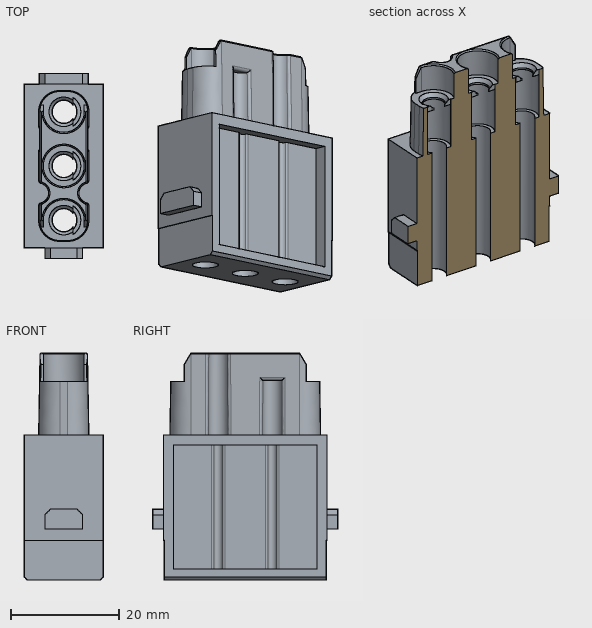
import cadquery as cq
import math

BODY_X = 14.65
BODY_Y = 30.2
BODY_Z = 26.8
TOTAL_Z = 41.95
FOOT_Z = 7.35
FOOT_INSET = 0.15
BOTTOM_CHAMFER = 0.6

TAB_REACH = 2.0
TAB_BOTTOM = 9.4
TAB_TOP = 13.1
TAB_CHAMFER = 1.05
TAB_WIDTH_MINUS_Y = 7.0
TAB_WIDTH_PLUS_Y = 9.1

POCKET_RIM = 1.9
POCKET_BOTTOM = 2.1
POCKET_DEPTH = 2.4
POCKET_GROOVE_R = 0.85
POCKET_GROOVE_FILLET = 0.45

PITCH = 10.0
TOWER_X = 9.3
TOWER_Y = 27.85
TOWER_CORNER_R = TOWER_Y / 2 - PITCH
TOWER_DRAFT = 1.0
TOWER_GROOVE_R = 1.85
TOWER_GROOVE_FILLET = 0.6
TOWER_GROOVE_TOPS = (TOTAL_Z, 36.8)
TOP_CHAMFER = 0.25

SHELF_Z = 36.7
ARM_END_Y = 11.27
ARM_SLOPE_Z = 2.15
ARM_TOP_Y = PITCH

SOCKET_R = 3.78
LIP_TOP_R = 2.72
LIP_R = 2.12
LIP_CONE_Z = 0.75
LIP_LAND_Z = 0.35
CHAMBER_R = 3.15
CHAMBER_FLOOR_Z = BODY_Z
WIRE_HOLE_R = 2.4
LIP_GAP_X = 1.75

CHAMBER_YS = (-PITCH, 0, PITCH)
GROOVE_YS = (-PITCH / 2, PITCH / 2)
SIDES = (-1, 1)


def block(size_x, size_y, z_bottom, z_top):
    """Box centred on the Z axis between two levels."""
    base = cq.Workplane("XY").workplane(offset=z_bottom)
    return base.rect(size_x, size_y).extrude(z_top - z_bottom)


def cylinder(radius, x, y, z_bottom, z_top):
    """Vertical cylinder between two levels."""
    base = cq.Workplane("XY").workplane(offset=z_bottom)
    return base.center(x, y).circle(radius).extrude(z_top - z_bottom)


def make_body():
    """Main block on a foot that is slightly shorter along Y."""
    foot = block(BODY_X, BODY_Y - 2 * FOOT_INSET, 0, FOOT_Z)
    foot = foot.faces("<Z").edges("|Y").chamfer(BOTTOM_CHAMFER)
    return foot.union(block(BODY_X, BODY_Y, FOOT_Z, BODY_Z))


def make_tab(side, width):
    """Tab with chamfered upper corners, rooted in the middle of the body."""
    reach = BODY_Y / 2 + TAB_REACH
    tab = block(width, reach, TAB_BOTTOM, TAB_TOP)
    tab = tab.faces(">Z").edges("|Y").chamfer(TAB_CHAMFER)
    return tab.translate((0, side * reach / 2, 0))


def make_pocket(side):
    """Cutter for one side pocket, with the rounded grooves in its floor."""
    pocket_top = BODY_Z - POCKET_RIM
    floor_x = BODY_X / 2 - POCKET_DEPTH
    pocket = block(POCKET_DEPTH, BODY_Y - 2 * POCKET_RIM, POCKET_BOTTOM, pocket_top)
    pocket = pocket.translate((side * (floor_x + POCKET_DEPTH / 2), 0, 0))
    for y in GROOVE_YS:
        groove = cylinder(POCKET_GROOVE_R, side * floor_x, y, POCKET_BOTTOM, pocket_top)
        pocket = pocket.union(groove)
        for edge_side in SIDES:
            mouth = (side * floor_x, y + edge_side * POCKET_GROOVE_R, BODY_Z / 2)
            groove_edge = cq.selectors.NearestToPointSelector(mouth)
            pocket = pocket.edges("|Z").edges(groove_edge).fillet(POCKET_GROOVE_FILLET)
    return pocket


def make_tower():
    """Drafted tower with a full-height and a short groove on each flank."""
    height = TOTAL_Z - BODY_Z
    outline = cq.Sketch().rect(TOWER_X, TOWER_Y).vertices().fillet(TOWER_CORNER_R)
    base = cq.Workplane("XY").workplane(offset=BODY_Z)
    tower = base.placeSketch(outline).extrude(height, taper=TOWER_DRAFT)
    for side in SIDES:
        for y, groove_top in zip(GROOVE_YS, TOWER_GROOVE_TOPS):
            groove = cylinder(TOWER_GROOVE_R, side * TOWER_X / 2, y, BODY_Z, groove_top)
            tower = round_groove_mouth(tower.cut(groove), side, y)
    return tower


def round_groove_mouth(tower, side, y):
    """Round the edges where a groove opens into the drafted flank."""
    flank_bottom_x = TOWER_X / 2
    flank_top_x = flank_bottom_x - (TOTAL_Z - BODY_Z) * math.tan(math.radians(TOWER_DRAFT))
    mouth = cq.selectors.BoxSelector(
        (side * flank_top_x, y - TOWER_GROOVE_R, BODY_Z),
        (side * flank_bottom_x, y + TOWER_GROOVE_R, TOTAL_Z),
    )
    return tower.edges(mouth).fillet(TOWER_GROOVE_FILLET)


def cut_tower_ends(tower):
    """Lower the tower ends to a shelf, leaving side arms with sloped tips."""
    slope_bottom = TOTAL_Z - ARM_SLOPE_Z
    for side in SIDES:
        profile = [
            (side * TOWER_Y, SHELF_Z),
            (side * ARM_END_Y, SHELF_Z),
            (side * ARM_END_Y, slope_bottom),
            (side * ARM_TOP_Y, TOTAL_Z),
            (side * TOWER_Y, TOTAL_Z),
        ]
        end_cut = cq.Workplane("YZ").polyline(profile).close().extrude(TOWER_X, both=True)
        opening = block(2 * SOCKET_R, TOWER_Y, SHELF_Z, TOTAL_Z)
        opening = opening.translate((0, side * (PITCH + TOWER_Y / 2), 0))
        tower = tower.cut(end_cut).cut(opening)
    return tower


def make_chamber():
    """Cutter for one chamber below its socket: lip, wide bore and wire hole."""
    lip_bottom = SHELF_Z - LIP_CONE_Z - LIP_LAND_Z
    profile = [
        (0, 0),
        (WIRE_HOLE_R, 0),
        (WIRE_HOLE_R, CHAMBER_FLOOR_Z),
        (CHAMBER_R, CHAMBER_FLOOR_Z),
        (CHAMBER_R, lip_bottom),
        (LIP_R, lip_bottom),
        (LIP_R, lip_bottom + LIP_LAND_Z),
        (LIP_TOP_R, SHELF_Z),
        (0, SHELF_Z),
    ]
    bore = cq.Workplane("XZ").polyline(profile).close().revolve(360, (0, 0), (0, 1))
    gap = cylinder(CHAMBER_R, 0, 0, CHAMBER_FLOOR_Z, SHELF_Z)
    gap_side = block(CHAMBER_R, 2 * CHAMBER_R, CHAMBER_FLOOR_Z, SHELF_Z)
    gap = gap.intersect(gap_side.translate((LIP_GAP_X + CHAMBER_R / 2, 0, 0)))
    return bore.union(gap)


def make_socket(y):
    """Cutter for one socket with a chamfered mouth."""
    mouth_base = cq.Workplane("XY").workplane(offset=TOTAL_Z - TOP_CHAMFER)
    mouth = mouth_base.center(0, y).circle(SOCKET_R).extrude(TOP_CHAMFER, taper=-45)
    return cylinder(SOCKET_R, 0, y, SHELF_Z, TOTAL_Z).union(mouth)


def finish_tower():
    """Tower with a chamfered rim, open sockets and lowered ends."""
    tower = make_tower().faces(">Z").edges().chamfer(TOP_CHAMFER)
    for y in CHAMBER_YS:
        tower = tower.cut(make_socket(y))
    return cut_tower_ends(tower)


result = make_body()
result = result.union(make_tab(-1, TAB_WIDTH_MINUS_Y))
result = result.union(make_tab(1, TAB_WIDTH_PLUS_Y))
for side in SIDES:
    result = result.cut(make_pocket(side))
result = result.union(finish_tower())
for y in CHAMBER_YS:
    result = result.cut(make_chamber().translate((0, y, 0)))